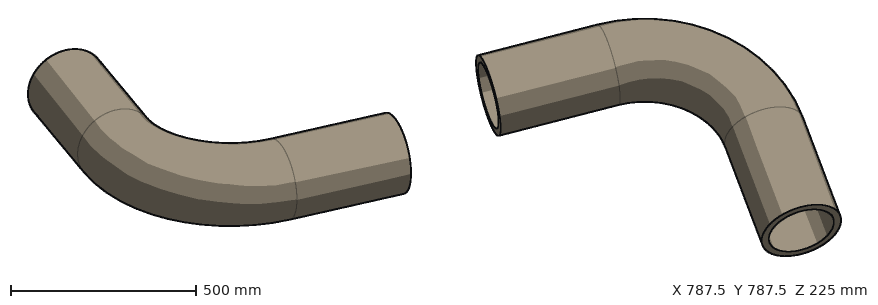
import cadquery as cq

overall_length = 787.5
outer_diameter = 225.0
bore_diameter = 184.0
bend_radius = 338.0
bend_angle = 90

leg_length = overall_length - outer_diameter / 2 - bend_radius

second_leg_x = leg_length + bend_radius


def pipe_section(workplane):
    """Ring-shaped cross-section of the pipe wall."""
    return workplane.circle(outer_diameter / 2).circle(bore_diameter / 2)


first_leg = pipe_section(cq.Workplane("YZ")).extrude(leg_length)

elbow_start = cq.Workplane("YZ", origin=(leg_length, 0, 0))
elbow = pipe_section(elbow_start).revolve(bend_angle, (bend_radius, 0), (bend_radius, 1))

second_leg_start = cq.Workplane("XZ", origin=(second_leg_x, bend_radius, 0))
second_leg = pipe_section(second_leg_start).extrude(-leg_length)

result = first_leg.union(elbow).union(second_leg)